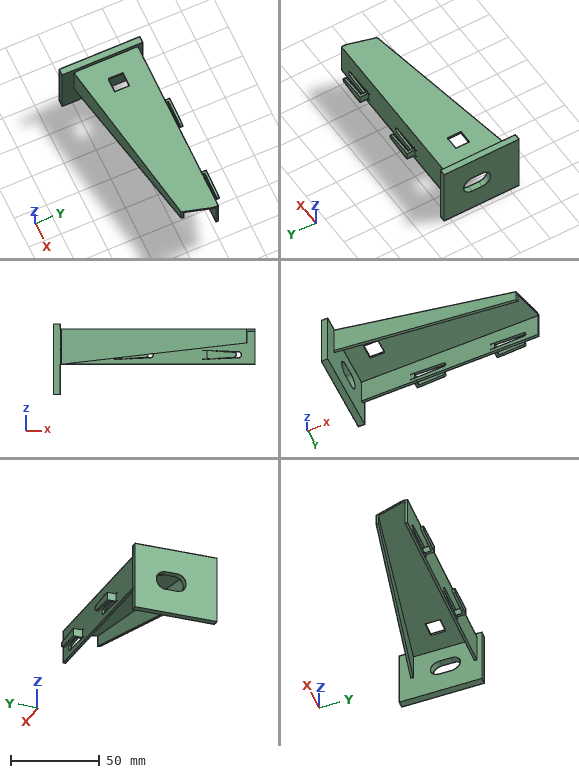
import cadquery as cq
import math

PLATE_THICKNESS = 4.0
PLATE_WIDTH = 50.0
PLATE_HEIGHT = 40.0
PLATE_SLOT_LENGTH = 18.0
PLATE_SLOT_HEIGHT = 11.1
HOLE_CENTRE_Y = 3.0

ARM_END_X = 114.0
SHEET = 1.5
ARM_TOP_Z = 17.1
ARM_HEIGHT = 20.0
ARM_BOTTOM_Z = ARM_TOP_Z - ARM_HEIGHT
WALL_BACK_Y = 22.0
WALL_INNER_Y = WALL_BACK_Y - SHEET
TIP_STRAIGHT_Y = 18.8
FLANGE_START_X = 4.6
FLANGE_START_Y = -17.8
FLANGE_END_X = 109.1
FLANGE_END_Y = 1.1
FLANGE_END_BOTTOM_Z = 9.2
ROOT_BEVEL_LENGTH = 1.9

SQUARE_HOLE_SIZE = 9.0
SQUARE_HOLE_X = 20.0

TAB_FIRST_X = 35.6
TAB_PITCH = 49.8
TAB_COUNT = 2
TAB_Z = 2.5
TAB_LENGTH = 18.0
TAB_BACK_Y = PLATE_WIDTH / 2 + 2.4
TAB_ROOT_WIDTH = 4.7
TAB_TIP_WIDTH = 2.8
TAB_STRAIGHT_LENGTH = 3.8
TAB_TIP_RADIUS = 1.4
NECK_WIDTH = 4.9
NECK_START_Y = 23.0
NECK_END_Y = 24.0
OPENING_SETBACK = 1.1
OPENING_LENGTH = 21.9
OPENING_ROOT_WIDTH = 5.1
OPENING_TIP_WIDTH = 3.1
OPENING_TIP_RADIUS = 1.4


def make_plate():
    plate = cq.Workplane("XY").box(
        PLATE_THICKNESS, PLATE_WIDTH, PLATE_HEIGHT, centered=(False, True, True)
    )
    slot = (
        cq.Workplane("YZ")
        .center(HOLE_CENTRE_Y, 0)
        .slot2D(PLATE_SLOT_LENGTH, PLATE_SLOT_HEIGHT)
        .extrude(PLATE_THICKNESS)
    )
    return plate.cut(slot)


def make_folded_sheet():
    """Channel open below and at both ends, tapering towards the tip."""
    outline = [
        (PLATE_THICKNESS, WALL_BACK_Y),
        (PLATE_THICKNESS, FLANGE_START_Y + ROOT_BEVEL_LENGTH),
        (FLANGE_START_X, FLANGE_START_Y),
        (FLANGE_END_X, FLANGE_END_Y),
        (ARM_END_X, TIP_STRAIGHT_Y),
        (ARM_END_X, WALL_BACK_Y),
    ]
    block = cq.Workplane("XY").workplane(offset=ARM_BOTTOM_Z).polyline(outline).close().extrude(ARM_HEIGHT)

    slope = (FLANGE_END_Y - FLANGE_START_Y) / (FLANGE_END_X - FLANGE_START_X)
    inner_shift_y = SHEET * math.hypot(1, slope)

    def flange_inner_y(x):
        return FLANGE_START_Y + slope * (x - FLANGE_START_X) + inner_shift_y

    channel = (
        cq.Workplane("XY")
        .workplane(offset=ARM_BOTTOM_Z)
        .polyline([
            (0, WALL_INNER_Y),
            (0, flange_inner_y(0)),
            (ARM_END_X, flange_inner_y(ARM_END_X)),
            (ARM_END_X, WALL_INNER_Y),
        ])
        .close()
        .extrude(ARM_HEIGHT - SHEET)
    )

    below_flange = (
        cq.Workplane("XZ", origin=(0, WALL_INNER_Y, 0))
        .polyline([
            (FLANGE_START_X, ARM_BOTTOM_Z),
            (FLANGE_END_X, FLANGE_END_BOTTOM_Z),
            (ARM_END_X, FLANGE_END_BOTTOM_Z),
            (ARM_END_X, ARM_BOTTOM_Z),
        ])
        .close()
        .extrude(WALL_INNER_Y - FLANGE_START_Y)
    )
    return block.cut(channel).cut(below_flange)


def make_square_hole():
    return (
        cq.Workplane("XY", origin=(SQUARE_HOLE_X, HOLE_CENTRE_Y, ARM_BOTTOM_Z))
        .rect(SQUARE_HOLE_SIZE, SQUARE_HOLE_SIZE)
        .extrude(ARM_HEIGHT)
    )


def make_tapered_strip(length, straight, root_width, tip_width, tip_radius, back_y):
    """Sheet-thick strip along +X from X = 0, with its rear face at back_y and a rounded tip."""
    points = [(0, root_width / 2)]
    if straight > 0:
        points.append((straight, root_width / 2))
    points.append((length, tip_width / 2))
    points += [(x, -z) for x, z in reversed(points)]
    return (
        cq.Workplane("XZ", origin=(0, back_y, TAB_Z))
        .polyline(points)
        .close()
        .extrude(SHEET)
        .edges("|Y and >X")
        .fillet(tip_radius)
    )


def make_tab_opening(leg_x):
    opening = make_tapered_strip(
        OPENING_LENGTH, 0, OPENING_ROOT_WIDTH, OPENING_TIP_WIDTH, OPENING_TIP_RADIUS, WALL_BACK_Y
    )
    return opening.translate((leg_x - OPENING_SETBACK, 0, 0))


def make_tab(leg_x):
    strip = make_tapered_strip(
        TAB_LENGTH, TAB_STRAIGHT_LENGTH, TAB_ROOT_WIDTH, TAB_TIP_WIDTH, TAB_TIP_RADIUS, TAB_BACK_Y
    )
    half_leg = [
        (WALL_INNER_Y, NECK_WIDTH / 2),
        (NECK_START_Y, NECK_WIDTH / 2),
        (NECK_END_Y, TAB_ROOT_WIDTH / 2),
        (TAB_BACK_Y, TAB_ROOT_WIDTH / 2),
    ]
    leg = (
        cq.Workplane("YZ", origin=(0, 0, TAB_Z))
        .polyline(half_leg + [(y, -z) for y, z in reversed(half_leg)])
        .close()
        .extrude(SHEET)
    )
    root = cq.Workplane("XY").box(
        OPENING_SETBACK, SHEET, NECK_WIDTH, centered=(False, False, True)
    ).translate((-OPENING_SETBACK, WALL_INNER_Y, TAB_Z))
    return strip.union(leg).union(root).translate((leg_x, 0, 0))


def make_arm():
    arm = make_folded_sheet().cut(make_square_hole())
    for index in range(TAB_COUNT):
        leg_x = TAB_FIRST_X + index * TAB_PITCH
        arm = arm.cut(make_tab_opening(leg_x)).union(make_tab(leg_x))
    return arm


plate = make_plate()
arm = make_arm()
result = cq.Compound.makeCompound([plate.solids().val(), arm.solids().val()])